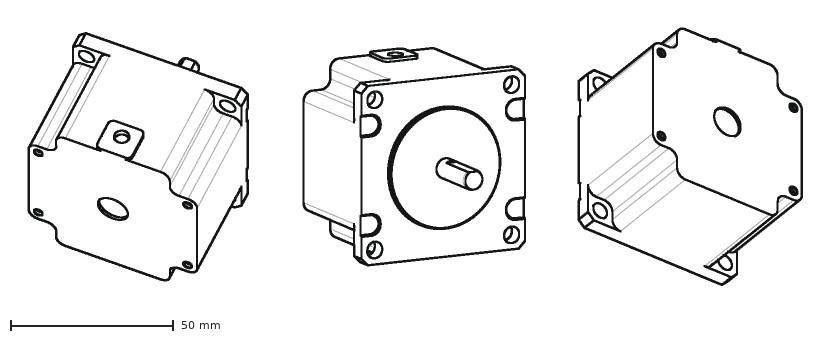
import cadquery as cq
import math

width = 56.4
half_width = width / 2
total_length = 59.6

body_length = 39.05
flange_thickness = 5.0
flange_chamfer = 2.2
notch_size = 9.2
notch_fillet = 3.1

mount_hole_diameter = 5.2
mount_hole_offset = 23.6

pilot_diameter = 38.15
pilot_height = 1.6
pilot_chamfer = 0.4
shaft_diameter = 6.4
shaft_tip_chamfer_length = 0.95
shaft_tip_chamfer_depth = 0.25
flat_length = 14.9
flat_depth = 0.55

screw_x = 25.0
screw_z = 15.6
screw_hole_diameter = 2.5
screw_hole_depth = 1.25
screw_rim_diameter = 3.0
screw_rim_depth = 0.1
drill_point_angle = 118.0
slot_width = 6.0
slot_depth = 0.7
slot_chamfer = 0.4
slot_chamfer_angle = 45.0

recess_diameter = 10.0
recess_depth = 1.0

pad_width = 11.75
pad_length = 11.45
pad_height = 1.0
pad_corner_radius = 1.7
outlet_diameter = 4.65
outlet_depth = 2.0
outlet_y = 6.8


def four_corners(x, z):
    """Points mirrored about both the X and Z axes."""
    return [(side * x, level * z) for side in (-1, 1) for level in (-1, 1)]


def cylinder_along_y(diameter, y_start, length):
    """Cylinder on the shaft axis, growing toward +Y."""
    return cq.Workplane("XZ", origin=(0, y_start, 0)).circle(diameter / 2).extrude(-length)


def square_block(y_start, length):
    """Square block centred on the shaft axis, growing toward +Y."""
    return cq.Workplane("XZ", origin=(0, y_start, 0)).rect(width, width).extrude(-length)


def make_flange():
    flange = square_block(body_length - flange_thickness, flange_thickness)
    return flange.edges("|Y").chamfer(flange_chamfer)


def make_body():
    """Square body behind the flange, with rounded notches at its four corners."""
    core_length = body_length - flange_thickness
    notches = (
        cq.Workplane("XZ")
        .pushPoints(four_corners(half_width, half_width))
        .rect(2 * notch_size, 2 * notch_size)
        .extrude(-core_length)
    )
    return square_block(0, core_length).cut(notches).edges("|Y").fillet(notch_fillet)


def make_mount_holes():
    return (
        cq.Workplane("XZ")
        .pushPoints(four_corners(mount_hole_offset, mount_hole_offset))
        .circle(mount_hole_diameter / 2)
        .extrude(-body_length)
    )


def make_pilot():
    pilot = cylinder_along_y(pilot_diameter, body_length, pilot_height)
    return pilot.faces(">Y").chamfer(pilot_chamfer)


def make_shaft():
    """Round shaft with a tapered tip and a flat on its upper side."""
    shaft = cylinder_along_y(shaft_diameter, body_length, total_length - body_length)
    shaft = shaft.faces(">Y").edges().chamfer(shaft_tip_chamfer_length, shaft_tip_chamfer_depth)
    flat = cq.Workplane("XY").box(
        shaft_diameter, flat_length, shaft_diameter, centered=(True, False, False)
    )
    flat_level = shaft_diameter / 2 - flat_depth
    return shaft.cut(flat.translate((0, total_length - flat_length, flat_level)))


def make_screw_holes():
    """Blind drilled holes with a chamfered rim and a conical bottom."""
    rim_radius = screw_rim_diameter / 2
    hole_radius = screw_hole_diameter / 2
    tip_depth = screw_hole_depth + hole_radius / math.tan(math.radians(drill_point_angle / 2))
    hole = (
        cq.Workplane("XY")
        .lineTo(rim_radius, 0)
        .lineTo(hole_radius, screw_rim_depth)
        .lineTo(hole_radius, screw_hole_depth)
        .lineTo(0, tip_depth)
        .close()
        .revolve(360, (0, 0, 0), (0, 1, 0))
    )
    holes = cq.Workplane("XY")
    for x, z in four_corners(screw_x, screw_z):
        holes = holes.add(hole.translate((x, 0, z)))
    return holes.combine()


def slot_cutters(depth, taper):
    """Slot shapes from a given depth up to the flange front; a negative taper widens them."""
    slot_length = 2 * (half_width - screw_x) + slot_width
    return (
        cq.Workplane("XZ", origin=(0, body_length - depth, 0))
        .pushPoints(four_corners(half_width, screw_z))
        .slot2D(slot_length, slot_width)
        .extrude(-depth, taper=taper)
    )


def make_screw_slots():
    """Shallow chamfered slots in the flange front, round inside and open at the sides."""
    walls = slot_cutters(slot_depth, 0)
    chamfers = slot_cutters(slot_chamfer, -slot_chamfer_angle)
    return walls.union(chamfers)


def make_pad():
    pad = (
        cq.Workplane("XY", origin=(0, pad_length / 2, half_width))
        .rect(pad_width, pad_length)
        .extrude(pad_height)
    )
    return pad.edges("|Z").fillet(pad_corner_radius)


def make_outlet():
    top = half_width + pad_height
    outlet = cq.Workplane("XY", origin=(0, outlet_y, top))
    return outlet.circle(outlet_diameter / 2).extrude(-outlet_depth)


result = (
    make_body()
    .union(make_flange())
    .cut(make_mount_holes())
    .cut(make_screw_slots())
    .cut(make_screw_holes())
    .cut(cylinder_along_y(recess_diameter, 0, recess_depth))
    .union(make_pilot())
    .union(make_shaft())
    .union(make_pad())
    .cut(make_outlet())
)